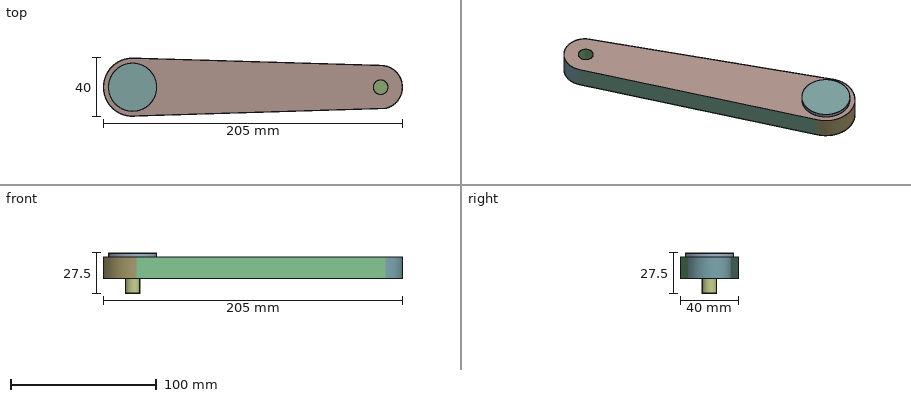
import cadquery as cq
import math

arm_length = 170.0
arm_thickness = 15.0
large_end_radius = 20.0
small_end_radius = 15.0

front_join_past_large_center = 2.9
front_join_past_small_center = 3.4

cap_diameter = 33.0
cap_height = 2.5
pin_diameter = 10.0
pin_length = 10.0
hole_diameter = pin_diameter
hole_depth = pin_length


def point_on_end(center_x, radius, offset_x, side):
    """Point of an end circle at offset_x from its center; side is +1 for +Y, -1 for -Y."""
    return center_x + offset_x, side * math.sqrt(radius**2 - offset_x**2)


def make_arm():
    tangent_slope = (large_end_radius - small_end_radius) / arm_length
    large_front = point_on_end(0, large_end_radius, front_join_past_large_center, -1)
    small_front = point_on_end(arm_length, small_end_radius, front_join_past_small_center, -1)
    small_back = point_on_end(arm_length, small_end_radius, small_end_radius * tangent_slope, 1)
    large_back = point_on_end(0, large_end_radius, large_end_radius * tangent_slope, 1)
    return (
        cq.Workplane("XY")
        .moveTo(*large_front)
        .lineTo(*small_front)
        .threePointArc((arm_length + small_end_radius, 0), small_back)
        .lineTo(*large_back)
        .threePointArc((-large_end_radius, 0), large_front)
        .close()
        .extrude(arm_thickness)
    )


def make_cap():
    return cq.Workplane("XY", origin=(0, 0, arm_thickness)).circle(cap_diameter / 2).extrude(cap_height)


def make_pin():
    return cq.Workplane("XY").circle(pin_diameter / 2).extrude(-pin_length)


def make_hole():
    hole_top = cq.Workplane("XY", origin=(arm_length, 0, arm_thickness))
    return hole_top.circle(hole_diameter / 2).extrude(-hole_depth)


result = make_arm().union(make_cap()).union(make_pin()).cut(make_hole())